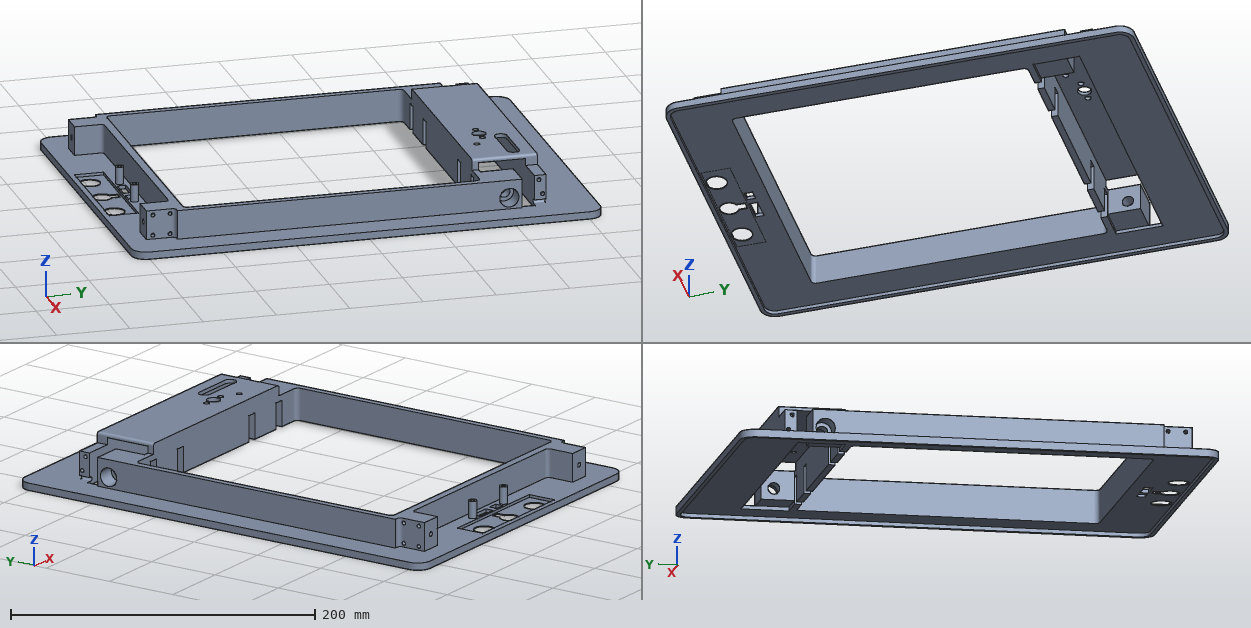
import cadquery as cq
PLATE_X = 240.0
PLATE_Y = 320.0
PLATE_T = 5.0
PLATE_CORNER_R = 10.0

REBATE_DEPTH = 2.5
REBATE_RIM = 3.0

WINDOW_X = 190.0
WINDOW_FRONT = -120.0
WINDOW_REAR = 82.5
WINDOW_CORNER_R = 3.2
FRAME_X = 200.3
FRAME_FRONT = -125.8
FRAME_REAR = 109.5
FRAME_TOP = 25.0

BLOCK_X = 21.8
BLOCK_FRONT = 87.0
PIVOT_Y = 100.8
PIVOT_Z = 12.8
PIVOT_D = 7.7
PIVOT_BORE_D = 12.8
PIVOT_BORE_DEPTH = 12.8

LEG_OUTER_X = 95.5
LEG_W = 15.5
LEG_FRONT = -145.5
LEG_FILLET_R = 2.5
LEG_FRONT_HOLE_D = 3.2
LEG_SIDE_HOLE_D = 2.5
LEG_SIDE_HOLE_YS = (-141.0, -129.3)
LEG_SIDE_HOLE_ZS = (7.7, 21.8)
SCREW_DEPTH = 4.8

BAR_X = 190.7
BAR_FRONT = 119.0
BAR_REAR = 127.0
BAR_HOLES_YZ = ((122.2, 21.8), (124.8, 12.0))
BAR_HOLE_D = 2.5
BAR_GROOVE_D = 3.0
BAY_X = 195.5
COVER_X = 148.5
COVER_TOP = 32.3
COVER_T = 2.5
COVER_EDGE_R = 2.0

NOTCH_W = 6.7
NOTCH_TOP = 20.8
NOTCH_XS = (42.2, 74.2)

COVER_SLOT_CENTER = (48.0, 113.5)
COVER_SLOT_LENGTH = 38.5
COVER_SLOT_W = 8.3
SENSOR_CENTER = (24.5, 101.0)
SENSOR_D = 9.3
SENSOR_SCREW_OFFSET = 8.3
COVER_PINHOLE_D = 4.0
COVER_PINHOLE_CENTER = (44.5, 94.0)

RECESS_X = 85.0
RECESS_FRONT = -156.0
RECESS_REAR = -136.3
RECESS_DEPTH = 2.0
BUTTON_Y = -149.0
BUTTON_SPACING = 29.8
BUTTON_D = 14.0
KEYHOLE_D = 12.8
KEYHOLE_SLOT_W = 5.8
KEYHOLE_SLOT_REAR = -137.5

CONNECTOR_FRONT = -135.0
CONNECTOR_REAR = -129.3
CONNECTOR_X_RANGES = ((-13.5, 1.5), (6.5, 13.5))
POST_X = 18.2
POST_Y = (CONNECTOR_FRONT + CONNECTOR_REAR) / 2
POST_D = 5.5
POST_HOLE_D = 2.5
POST_TOP = 17.0

SIDES = (-1, 1)


def box(x_range, y_range, z_range):
    """Box spanning the given ranges, each in either order."""
    spans = [sorted(r) for r in (x_range, y_range, z_range)]
    sizes = [high - low for low, high in spans]
    corner = tuple(low for low, _ in spans)
    return cq.Workplane("XY").box(*sizes, centered=False).translate(corner)


def centered_box(width, y_range, z_range):
    """Box symmetric about X = 0."""
    return box((-width / 2, width / 2), y_range, z_range)


def rod(start, direction, diameter, length):
    """Round rod from a start point along a direction."""
    return cq.Workplane(cq.Solid.makeCylinder(
        diameter / 2, length, cq.Vector(*start), cq.Vector(*direction)))


def plate():
    blank = centered_box(PLATE_X, (-PLATE_Y / 2, PLATE_Y / 2), (0, PLATE_T))
    return blank.edges("|Z").fillet(PLATE_CORNER_R)


def frame():
    height = (PLATE_T, FRAME_TOP)
    body = centered_box(FRAME_X, (FRAME_FRONT, FRAME_REAR), height)
    for side in SIDES:
        leg_x = (side * LEG_OUTER_X, side * (LEG_OUTER_X - LEG_W))
        body = body.union(box(leg_x, (LEG_FRONT, WINDOW_FRONT), height))
    leg_roots = cq.selectors.BoxSelector(
        (-FRAME_X, FRAME_FRONT - 0.3, 0), (FRAME_X, FRAME_FRONT + 0.3, FRAME_TOP))
    inner_corners = body.edges("|Z").edges(leg_roots).edges(
        cq.selectors.BoxSelector((-LEG_OUTER_X - 0.3, LEG_FRONT, 0), (LEG_OUTER_X + 0.3, 0, FRAME_TOP)))
    body = inner_corners.fillet(LEG_FILLET_R)
    gap_x = FRAME_X - 2 * BLOCK_X
    return body.cut(centered_box(gap_x, (BLOCK_FRONT, FRAME_REAR), height))


def window():
    blank = centered_box(WINDOW_X, (WINDOW_FRONT, WINDOW_REAR), (0, COVER_TOP))
    return blank.edges("|Z").fillet(WINDOW_CORNER_R)


def underside_rebate():
    half_y = PLATE_Y / 2 - REBATE_RIM
    blank = centered_box(PLATE_X - 2 * REBATE_RIM, (-half_y, half_y), (0, REBATE_DEPTH))
    return blank.edges("|Z").fillet(PLATE_CORNER_R - REBATE_RIM)


def rear_bar():
    return centered_box(BAR_X, (BAR_FRONT, BAR_REAR), (PLATE_T, FRAME_TOP))


def cover():
    shell = centered_box(COVER_X, (WINDOW_REAR, BAR_REAR), (REBATE_DEPTH, COVER_TOP))
    shell = shell.edges("|Y and >Z").fillet(COVER_EDGE_R)
    cavity = centered_box(COVER_X, (BLOCK_FRONT, BAR_FRONT), (PLATE_T, COVER_TOP - COVER_T))
    return shell.cut(cavity)


def bay_opening():
    return centered_box(BAY_X, (BLOCK_FRONT, BAR_FRONT), (0, PLATE_T))


def wall_notches():
    notch = centered_box(NOTCH_W, (WINDOW_REAR, BLOCK_FRONT), (0, NOTCH_TOP))
    notches = cq.Workplane("XY")
    for side in SIDES:
        for x in NOTCH_XS:
            notches = notches.add(notch.translate((side * x, 0, 0)))
    return notches.combine()


def cover_openings():
    sensor_x, sensor_y = SENSOR_CENTER
    pinholes = [(sensor_x + side * SENSOR_SCREW_OFFSET, sensor_y) for side in SIDES]
    pinholes.append(COVER_PINHOLE_CENTER)
    underside = cq.Workplane("XY").workplane(offset=COVER_TOP - COVER_T)
    slot = underside.center(*COVER_SLOT_CENTER).slot2D(COVER_SLOT_LENGTH, COVER_SLOT_W).extrude(COVER_T)
    sensor = underside.center(*SENSOR_CENTER).circle(SENSOR_D / 2).extrude(COVER_T)
    screws = underside.pushPoints(pinholes).circle(COVER_PINHOLE_D / 2).extrude(COVER_T)
    return slot.union(sensor).union(screws)


def side_holes(side):
    """Pivot, screw holes and groove on one side of the part."""
    inward = (-side, 0, 0)
    frame_side = side * FRAME_X / 2
    bar_side = side * BAR_X / 2
    pivot = (frame_side, PIVOT_Y, PIVOT_Z)
    holes = rod(pivot, inward, PIVOT_D, BLOCK_X)
    holes = holes.union(rod(pivot, inward, PIVOT_BORE_D, PIVOT_BORE_DEPTH))
    for y in LEG_SIDE_HOLE_YS:
        for z in LEG_SIDE_HOLE_ZS:
            holes = holes.union(rod((side * LEG_OUTER_X, y, z), inward, LEG_SIDE_HOLE_D, SCREW_DEPTH))
    leg_middle = side * (LEG_OUTER_X - LEG_W / 2)
    leg_hole_z = (PLATE_T + FRAME_TOP) / 2
    holes = holes.union(rod((leg_middle, LEG_FRONT, leg_hole_z), (0, 1, 0), LEG_FRONT_HOLE_D, SCREW_DEPTH))
    for y, z in BAR_HOLES_YZ:
        holes = holes.union(rod((bar_side, y, z), inward, BAR_HOLE_D, SCREW_DEPTH))
    groove_x = bar_side - side * BAR_GROOVE_D / 2
    groove_z = PLATE_T + BAR_GROOVE_D / 2
    groove_end = rod((groove_x, BAR_FRONT, groove_z), (0, 1, 0), BAR_GROOVE_D, BAR_REAR - BAR_FRONT)
    groove = box((groove_x, bar_side), (BAR_FRONT, BAR_REAR), (PLATE_T, PLATE_T + BAR_GROOVE_D))
    return holes.union(groove_end).union(groove)


def button_recess():
    recess = centered_box(RECESS_X, (RECESS_FRONT, RECESS_REAR), (PLATE_T - RECESS_DEPTH, PLATE_T))
    for side in SIDES:
        recess = recess.union(rod((side * BUTTON_SPACING, BUTTON_Y, 0), (0, 0, 1), BUTTON_D, PLATE_T))
    keyhole = rod((0, BUTTON_Y, 0), (0, 0, 1), KEYHOLE_D, PLATE_T)
    keyhole_slot = centered_box(KEYHOLE_SLOT_W, (BUTTON_Y, KEYHOLE_SLOT_REAR), (0, PLATE_T))
    return recess.union(keyhole).union(keyhole_slot)


def connector_slots():
    slots = [box(x_range, (CONNECTOR_FRONT, CONNECTOR_REAR), (0, PLATE_T)) for x_range in CONNECTOR_X_RANGES]
    return slots[0].union(slots[1])


def post(side):
    height = POST_TOP - PLATE_T
    base = (side * POST_X, POST_Y, PLATE_T)
    return rod(base, (0, 0, 1), POST_D, height).cut(rod(base, (0, 0, 1), POST_HOLE_D, height))


result = plate().union(frame()).cut(window())
result = result.union(rear_bar()).union(cover())
result = result.cut(underside_rebate()).cut(bay_opening()).cut(wall_notches()).cut(cover_openings())
result = result.cut(button_recess()).cut(connector_slots())
for side in SIDES:
    result = result.cut(side_holes(side)).union(post(side))